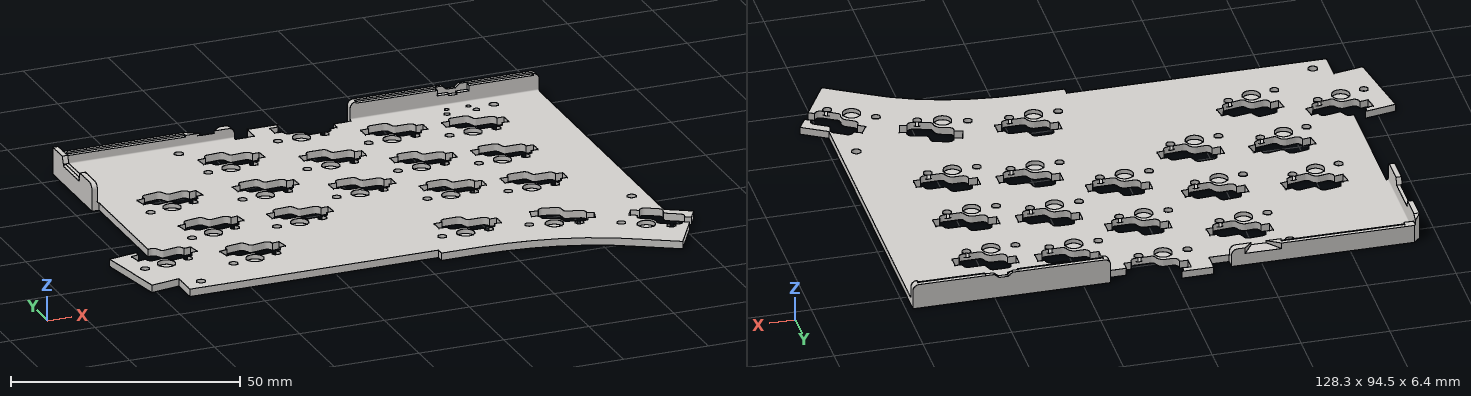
import cadquery as cq
import math


plate_width = 112.8
plate_depth = 74.7
plate_thickness = 1.8

tile_width = 18.5
tile_depth = 17.5
column_pitch = 18.0
column_span = 34.0
keys_per_column = 3
key_pitch = column_span / (keys_per_column - 1)
post_diameter = 4.0
peg_diameter = 1.9
peg_offset = 5.5
blind_depth = 1.0

inner_column_x = 90.7
columns = [
    (inner_column_x, 25.2, 0),
    (inner_column_x - column_pitch, 27.8, 0),
    (inner_column_x - 2 * column_pitch, 36.2, 0),
    (36.5, 26.0, 4),
    (19.8, 10.9, 10),
]
outer_key = (0.8, 15.4, 10)
thumb_keys = [(67.8, 6.9, 0), (87.6, 4.5, -15), (106.1, -3.3, -30)]

socket_centre_x = 2.5
lobe_left = -2.6
lobe_right = 7.7
tab_reach = 6.9
left_lobe_top = 8.9
left_lobe_bottom = 3.0
right_lobe_top = 6.5
right_lobe_bottom = 0.9
left_tab_y = (4.5, 7.3)
right_tab_y = (2.3, 5.1)
lobe_radius = 1.2
upper_shoulder = ((1.5, left_lobe_top), (2.3, 8.5), (2.6, 7.8))
upper_foot = ((2.8, 7.2), (3.1, 6.7), (3.6, right_lobe_top))
lower_foot = ((3.1, right_lobe_bottom), (2.5, 1.0), (2.0, 1.5))
lower_hollow_mid = (1.5, 2.5)
lower_hollow_end = (0.6, left_lobe_bottom)

screw_diameter = 2.0
screw_points = [(26.5, 71.7), (100.7, 71.7), (109.1, 12.5), (4.0, 3.3)]
pin_row_centre_x = 92.6
pin_pairs = [(72.9, 2.6, 1.0), (70.5, 3.5, 1.4)]

back_face_y = 76.9
back_wall_thickness = 1.8
back_wall_inner_y = back_face_y - back_wall_thickness
side_face_x = -1.7
side_wall_thickness = 1.3
side_wall_inner_x = side_face_x + side_wall_thickness
wall_end_radius = 1.4
cove_radius = 0.4
outer_corner_chamfer = 1.5

left_wall_end_x = 41.0
left_wall_height = 4.4
left_ledge_x = (1.8, 29.5)
left_notch_inner_x = (32.8, 36.2)
left_notch_outer_x = (29.8, 38.0)
left_notch_inner_floor = 3.8
left_notch_outer_floor = 3.0

right_wall_start_x = 68.3
right_wall_height = 6.0
ledge_width = 0.9
ledge_drop = 0.4
port_x = (88.8, 96.2)
port_floor = 4.4
port_skin = 0.8
port_notch_x = (90.3, 94.5)
port_notch_floor = 5.1
port_notch_slope = 1.0
port_dip_x = (91.5, 93.4)
port_dip_floor = 4.0

side_wall_start_y = 52.6
side_wall_height = 6.4
side_notch_y = (59.5, 69.8)
side_notch_slope = 0.6
side_notch_floor = 4.7
side_notch_bevel = 0.45
side_taper_run = outer_corner_chamfer
side_taper_drop = 1.3


def box(x_range, y_range, z_range):
    """Box spanning the given ranges."""
    size = [high - low for low, high in (x_range, y_range, z_range)]
    corner = (x_range[0], y_range[0], z_range[0])
    return cq.Workplane("XY").box(*size, centered=False).translate(corner)


def prism_along_x(points, x_range):
    """Prism whose (y, z) outline runs along X."""
    start, end = x_range
    return cq.Workplane("YZ", origin=(start, 0, 0)).polyline(points).close().extrude(end - start)


def prism_along_y(points, y_range):
    """Prism whose (x, z) outline runs along Y."""
    start, end = y_range
    return cq.Workplane("XZ", origin=(0, start, 0)).polyline(points).close().extrude(start - end)


def place(shape, key):
    """Move a shape made around a key's post onto that key."""
    x, y, angle = key
    return shape.rotate((0, 0, 0), (0, 0, 1), angle).translate((x, y, 0))


def key_point(key, local_x, local_y):
    """Plate position of a point given in a key's own axes."""
    x, y, angle = key
    cos_a = math.cos(math.radians(angle))
    sin_a = math.sin(math.radians(angle))
    return (x + local_x * cos_a - local_y * sin_a, y + local_x * sin_a + local_y * cos_a)


def column_keys(bottom_key):
    """Keys of one column, stacked along the column's own direction."""
    angle = bottom_key[2]
    return [key_point(bottom_key, 0, row * key_pitch) + (angle,) for row in range(keys_per_column)]


def key_tile():
    return box(
        (-tile_width / 2, tile_width / 2), (-tile_depth / 2, tile_depth / 2), (0, plate_thickness)
    )


def socket_opening():
    """Through opening for one switch socket, relative to the switch post."""
    tab_left = socket_centre_x - tab_reach
    tab_right = socket_centre_x + tab_reach
    r = lobe_radius
    bulge = r * (1 - math.sqrt(0.5))
    upper_start, upper_mid, upper_end = upper_shoulder
    upper_foot_start, upper_foot_mid, upper_foot_end = upper_foot
    lower_foot_start, lower_foot_mid, lower_foot_end = lower_foot
    outline = (
        cq.Workplane("XY")
        .moveTo(tab_left, left_tab_y[0])
        .lineTo(tab_left, left_tab_y[1])
        .lineTo(lobe_left, left_tab_y[1])
        .lineTo(lobe_left, left_lobe_top - r)
        .threePointArc((lobe_left + bulge, left_lobe_top - bulge), (lobe_left + r, left_lobe_top))
        .lineTo(*upper_start)
        .threePointArc(upper_mid, upper_end)
        .lineTo(*upper_foot_start)
        .threePointArc(upper_foot_mid, upper_foot_end)
        .lineTo(lobe_right - r, right_lobe_top)
        .threePointArc((lobe_right - bulge, right_lobe_top - bulge), (lobe_right, right_lobe_top - r))
        .lineTo(lobe_right, right_tab_y[1])
        .lineTo(tab_right, right_tab_y[1])
        .lineTo(tab_right, right_tab_y[0])
        .lineTo(lobe_right, right_tab_y[0])
        .lineTo(lobe_right, right_lobe_bottom + r)
        .threePointArc(
            (lobe_right - bulge, right_lobe_bottom + bulge), (lobe_right - r, right_lobe_bottom)
        )
        .lineTo(*lower_foot_start)
        .threePointArc(lower_foot_mid, lower_foot_end)
        .threePointArc(lower_hollow_mid, lower_hollow_end)
        .lineTo(lobe_left + r, left_lobe_bottom)
        .threePointArc((lobe_left + bulge, left_lobe_bottom + bulge), (lobe_left, left_lobe_bottom + r))
        .lineTo(lobe_left, left_tab_y[0])
        .close()
    )
    return outline.extrude(plate_thickness)


def key_blind_holes():
    """Blind holes for a switch's centre post and its two side pegs."""
    floor = plate_thickness - blind_depth
    post = cq.Workplane("XY", origin=(0, 0, floor)).circle(post_diameter / 2).extrude(blind_depth)
    pegs = (
        cq.Workplane("XY", origin=(0, 0, floor))
        .pushPoints([(-peg_offset, 0), (peg_offset, 0)])
        .circle(peg_diameter / 2)
        .extrude(blind_depth)
    )
    return post.union(pegs)


def thumb_apron():
    """Plate under the thumb keys; its lower edge sweeps through the bottoms of the three tiles."""
    first, middle, last = thumb_keys
    first_left = key_point(first, -tile_width / 2, -tile_depth / 2)
    first_bottom, middle_bottom, last_bottom = [key_point(key, 0, -tile_depth / 2) for key in thumb_keys]
    last_corner = key_point(last, tile_width / 2, -tile_depth / 2)
    last_top = key_point(last, tile_width / 2, tile_depth / 2)
    return (
        cq.Workplane("XY")
        .moveTo(*first_left)
        .lineTo(*first_bottom)
        .tangentArcPoint(middle_bottom, relative=False)
        .tangentArcPoint(last_bottom, relative=False)
        .lineTo(*last_corner)
        .lineTo(*last_top)
        .lineTo(*key_point(last, -tile_width / 2, tile_depth / 2))
        .lineTo(first_left[0], key_point(first, 0, tile_depth / 2)[1])
        .close()
        .extrude(plate_thickness)
    )


def plate():
    body = box((0, plate_width), (0, plate_depth), (0, plate_thickness))
    body = body.union(thumb_apron())
    body = body.union(place(key_tile(), outer_key))
    top_x, top_y, _ = column_keys(columns[2])[-1]
    bump = box((top_x - tile_width / 2, top_x), (top_y, top_y + tile_depth / 2), (0, plate_thickness))
    return body.union(bump)


def cut_key_features(body):
    opening = socket_opening()
    blind_holes = key_blind_holes()
    keys = [outer_key] + thumb_keys
    for bottom_key in columns:
        keys += column_keys(bottom_key)
    for key in keys:
        body = body.cut(place(opening, key)).cut(place(blind_holes, key))
    return body


def cut_screw_and_pin_holes(body):
    screws = (
        cq.Workplane("XY").pushPoints(screw_points).circle(screw_diameter / 2).extrude(plate_thickness)
    )
    body = body.cut(screws)
    for y, half_spacing, diameter in pin_pairs:
        points = [(pin_row_centre_x - half_spacing, y), (pin_row_centre_x + half_spacing, y)]
        pins = (
            cq.Workplane("XY", origin=(0, 0, plate_thickness - blind_depth))
            .pushPoints(points)
            .circle(diameter / 2)
            .extrude(blind_depth)
        )
        body = body.cut(pins)
    return body


def back_cove(x_range):
    """Strip with a hollow round that joins a back wall to the plate."""
    y_range = (back_wall_inner_y - cove_radius, back_wall_inner_y)
    strip = box(x_range, y_range, (0, plate_thickness + cove_radius))
    hollow = (
        cq.Workplane("YZ", origin=(x_range[0], y_range[0], plate_thickness + cove_radius))
        .circle(cove_radius)
        .extrude(x_range[1] - x_range[0])
    )
    return strip.cut(hollow)


def side_cove(y_range):
    """Strip with a hollow round that joins the side wall to the plate."""
    x_range = (side_wall_inner_x, side_wall_inner_x + cove_radius)
    strip = box(x_range, y_range, (0, plate_thickness + cove_radius))
    hollow = (
        cq.Workplane("XZ", origin=(x_range[1], y_range[0], plate_thickness + cove_radius))
        .circle(cove_radius)
        .extrude(y_range[0] - y_range[1])
    )
    return strip.cut(hollow)


def cut_inner_ledge(wall, height, x_range):
    """Step down the inner top edge of a back wall over part of its length."""
    y_range = (back_wall_inner_y, back_wall_inner_y + ledge_width)
    return wall.cut(box(x_range, y_range, (height - ledge_drop, height)))


def notch_outline(top_range, slope, floor, top):
    """Outline of a notch with sloping ends, open at the top."""
    start, end = top_range
    return [(start, top), (start + slope, floor), (end - slope, floor), (end, top)]


def left_back_wall():
    x_range = (side_face_x, left_wall_end_x)
    y_range = (back_wall_inner_y, back_face_y)
    wall = box(x_range, y_range, (0, left_wall_height))
    wall = wall.edges("|Y and >X and >Z").fillet(wall_end_radius)
    wall = cut_inner_ledge(wall, left_wall_height, left_ledge_x)
    plan = [
        (left_notch_inner_x[0], back_wall_inner_y),
        (left_notch_outer_x[0], back_face_y),
        (left_notch_outer_x[1], back_face_y),
        (left_notch_inner_x[1], back_wall_inner_y),
    ]
    section = [
        (back_wall_inner_y, left_notch_inner_floor),
        (back_face_y, left_notch_outer_floor),
        (back_face_y, left_wall_height),
        (back_wall_inner_y, left_wall_height),
    ]
    notch = cq.Workplane("XY").polyline(plan).close().extrude(left_wall_height)
    wall = wall.cut(notch.intersect(prism_along_x(section, left_notch_outer_x)))
    return wall.union(back_cove(x_range))


def right_back_wall():
    x_range = (right_wall_start_x, plate_width)
    y_range = (back_wall_inner_y, back_face_y)
    wall = box(x_range, y_range, (0, right_wall_height))
    wall = wall.edges("|Y and >Z").fillet(wall_end_radius)
    ledge_x = (right_wall_start_x + wall_end_radius, plate_width - wall_end_radius)
    wall = cut_inner_ledge(wall, right_wall_height, ledge_x)
    recess_y = (back_wall_inner_y, back_face_y - port_skin)
    wall = wall.cut(box(port_x, recess_y, (port_floor, right_wall_height)))
    wall = wall.cut(box(port_dip_x, recess_y, (port_dip_floor, port_floor)))
    notch = notch_outline(port_notch_x, port_notch_slope, port_notch_floor, right_wall_height)
    wall = wall.cut(prism_along_y(notch, y_range))
    return wall.union(back_cove(x_range))


def side_wall():
    x_range = (side_face_x, side_wall_inner_x)
    y_range = (side_wall_start_y, back_face_y)
    wall = box(x_range, y_range, (0, side_wall_height))
    wall = wall.edges("|X and <Y and >Z").fillet(wall_end_radius)
    notch = notch_outline(side_notch_y, side_notch_slope, side_notch_floor, side_wall_height)
    wall = wall.cut(prism_along_x(notch, x_range))
    bevel = [
        (side_face_x, side_notch_floor - side_notch_bevel),
        (side_face_x + side_notch_bevel, side_notch_floor),
        (side_face_x, side_notch_floor),
    ]
    floor_y = (side_notch_y[0] + side_notch_slope, side_notch_y[1] - side_notch_slope)
    wall = wall.cut(prism_along_y(bevel, floor_y))
    taper = [
        (back_face_y - side_taper_run, side_wall_height),
        (back_face_y, side_wall_height - side_taper_drop),
        (back_face_y, side_wall_height),
    ]
    wall = wall.cut(prism_along_x(taper, x_range))
    return wall.union(side_cove(y_range))


def outer_corner_cut():
    """Triangular prism that bevels the upright corner between the side and back walls."""
    c = outer_corner_chamfer
    return (
        cq.Workplane("XY")
        .polyline(
            [
                (side_face_x, back_face_y),
                (side_face_x + c, back_face_y),
                (side_face_x, back_face_y - c),
            ]
        )
        .close()
        .extrude(side_wall_height)
    )


shell = cut_key_features(plate())
shell = cut_screw_and_pin_holes(shell)
for wall in (left_back_wall(), right_back_wall(), side_wall()):
    shell = shell.union(wall)
result = shell.cut(outer_corner_cut())